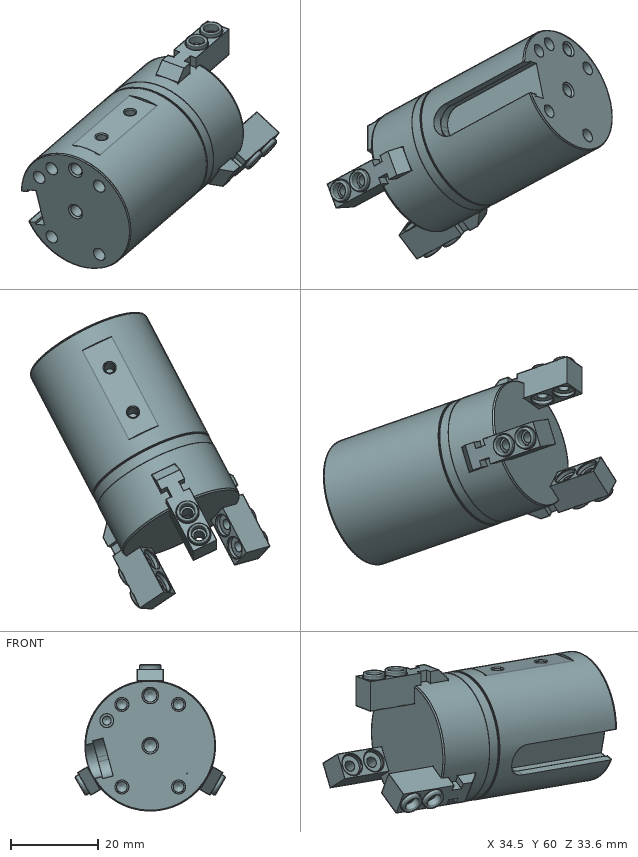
import cadquery as cq
import math

TOTAL_LENGTH = 60.0

HOUSING_RADIUS = 15.0
HOUSING_LENGTH = 47.9
REAR_CHAMFER_LENGTH = 0.35
FRONT_CHAMFER_LENGTH = 0.4
CHAMFER_DEPTH = 0.2
BAND_RADIUS = 14.95
BAND_FRONT = 35.1
BAND_REAR = 32.6
GROOVE_WIDTH = 0.3
GROOVE_RADIUS = 14.75

FLAT_HEIGHT = 14.5
FLAT_REAR = 4.5
FLAT_LENGTH = 24.0
FLAT_HOLES = (11.0, 23.0)
FLAT_HOLE_DIAMETER = 2.45
FLAT_HOLE_RIM = 3.0
FLAT_HOLE_DEPTH = 4.8

REAR_HOLE_DEPTH = 7.2
DRILL_TIP_ANGLE = 118.0
PORT_DIAMETER = 3.0
PORT_RIM = 3.8
PORT_RADIUS = 11.5
BOLT_DIAMETER = 2.45
BOLT_SPACING_X = 13.0
BOLT_SPACING_Z = 18.95
PILOT_DIAMETER = 2.05
PILOT_ANGLE = 150.0
COUNTERBORE_DIAMETER = 3.2
COUNTERBORE_DEPTH = 3.6

SLOT_TILT = 15.0
SLOT_FRONT = 28.6
SLOT_FLOOR = 10.0
SLOT_WIDTH = 8.0
UNDERCUT_WIDTH = 9.0
UNDERCUT_HEIGHT = 2.45

JAW_ANGLES = (0, 120, 240)
JAW_WIDTH = 6.0
JAW_INNER = 10.5
JAW_OUTER = 17.5
JAW_LENGTH = 21.5
JAW_BEVEL = JAW_OUTER - HOUSING_RADIUS
NECK_WIDTH = 3.0
NECK_FRONT = 46.0
NECK_REAR = 43.5
SCREW_HOLE_DIAMETER = 2.45
INNER_RECESS_DEPTH = 1.1
RECESS_RIM = 5.4

SLEEVE_DIAMETER = 5.0
SLEEVE_WALL = 0.7
SLEEVE_PROJECTION = 1.1
SLEEVE_SEAT_DEPTH = 1.1
SLEEVES_PER_JAW = 2
SLEEVE_PITCH = 6.0
FIRST_SLEEVE_INSET = 3.0
SLEEVE_POSITIONS = [TOTAL_LENGTH - FIRST_SLEEVE_INSET - i * SLEEVE_PITCH for i in range(SLEEVES_PER_JAW)]


def radial_cylinder(diameter, y, bottom, height):
    """A cylinder along +Z, at the given place along the gripper axis."""
    return cq.Workplane("XY", origin=(0, y, bottom)).circle(diameter / 2).extrude(height)


def rim_cone(diameter, rim, y, height, inward):
    """A 45 degree chamfer tool for a hole mouth at the given height.

    `inward` is the direction into the material: 1 for +Z and -1 for -Z.
    """
    depth = (rim - diameter) / 2
    cone = cq.Solid.makeCone(rim / 2, diameter / 2, depth, cq.Vector(0, y, height), cq.Vector(0, 0, inward))
    return cq.Workplane(cone)


def around_axis(body, angle):
    return body.rotate((0, 0, 0), (0, 1, 0), angle)


def bored_profile(steps):
    """Turn a tool along +Y from (diameter, depth) points, closed by a drill tip."""
    tip_diameter, tip_start = steps[-1]
    tip_length = tip_diameter / 2 / math.tan(math.radians(DRILL_TIP_ANGLE / 2))
    outline = [(0, 0)]
    outline += [(diameter / 2, depth) for diameter, depth in steps]
    outline += [(0, tip_start + tip_length)]
    return cq.Workplane("XY").polyline(outline).close().revolve(360, (0, 0, 0), (0, 1, 0))


def chamfered_hole(diameter, rim, depth):
    chamfer = (rim - diameter) / 2
    return bored_profile([(rim, 0), (diameter, chamfer), (diameter, depth)])


def counterbored_hole(diameter):
    return bored_profile([
        (COUNTERBORE_DIAMETER, 0),
        (COUNTERBORE_DIAMETER, COUNTERBORE_DEPTH),
        (diameter, COUNTERBORE_DEPTH),
        (diameter, REAR_HOLE_DEPTH),
    ])


def make_housing_blank():
    groove_rear = BAND_REAR - GROOVE_WIDTH
    end_radius = HOUSING_RADIUS - CHAMFER_DEPTH
    outline = [
        (0, 0),
        (end_radius, 0),
        (HOUSING_RADIUS, REAR_CHAMFER_LENGTH),
        (HOUSING_RADIUS, groove_rear),
        (GROOVE_RADIUS, groove_rear),
        (GROOVE_RADIUS, BAND_REAR),
        (BAND_RADIUS, BAND_REAR),
        (BAND_RADIUS, BAND_FRONT),
        (HOUSING_RADIUS, BAND_FRONT),
        (HOUSING_RADIUS, HOUSING_LENGTH - FRONT_CHAMFER_LENGTH),
        (end_radius, HOUSING_LENGTH),
        (0, HOUSING_LENGTH),
    ]
    return cq.Workplane("XY").polyline(outline).close().revolve(360, (0, 0, 0), (0, 1, 0))


def cut_top_flat(housing):
    pad_cut = (
        cq.Workplane("XY", origin=(0, FLAT_REAR + FLAT_LENGTH / 2, FLAT_HEIGHT))
        .rect(2 * HOUSING_RADIUS, FLAT_LENGTH)
        .extrude(HOUSING_RADIUS)
    )
    housing = housing.cut(pad_cut)
    for y in FLAT_HOLES:
        hole = radial_cylinder(FLAT_HOLE_DIAMETER, y, FLAT_HEIGHT - FLAT_HOLE_DEPTH, FLAT_HOLE_DEPTH)
        housing = housing.cut(hole)
        housing = housing.cut(rim_cone(FLAT_HOLE_DIAMETER, FLAT_HOLE_RIM, y, FLAT_HEIGHT, -1))
    return housing


def cut_rear_holes(housing):
    port = chamfered_hole(PORT_DIAMETER, PORT_RIM, REAR_HOLE_DEPTH)
    for z in (0, PORT_RADIUS):
        housing = housing.cut(port.translate((0, 0, z)))
    bolt_hole = counterbored_hole(BOLT_DIAMETER)
    for x in (-BOLT_SPACING_X / 2, BOLT_SPACING_X / 2):
        for z in (-BOLT_SPACING_Z / 2, BOLT_SPACING_Z / 2):
            housing = housing.cut(bolt_hole.translate((x, 0, z)))
    angle = math.radians(PILOT_ANGLE)
    pilot_place = (PORT_RADIUS * math.cos(angle), 0, PORT_RADIUS * math.sin(angle))
    return housing.cut(counterbored_hole(PILOT_DIAMETER).translate(pilot_place))


def cut_sensor_slot(housing):
    """Cut the slot facing up, then turned to its place on the -X side."""
    corner_radius = SLOT_WIDTH / 2
    undercut = (
        cq.Workplane("XY", origin=(0, SLOT_FRONT / 2, SLOT_FLOOR))
        .rect(UNDERCUT_WIDTH, SLOT_FRONT)
        .extrude(UNDERCUT_HEIGHT)
        .edges("|Z and >Y")
        .fillet(corner_radius)
    )
    straight_length = SLOT_FRONT - corner_radius
    mouth = (
        cq.Workplane("XY", origin=(0, 0, SLOT_FLOOR))
        .moveTo(-corner_radius, 0)
        .lineTo(-corner_radius, straight_length)
        .threePointArc((0, SLOT_FRONT), (corner_radius, straight_length))
        .lineTo(corner_radius, 0)
        .close()
        .extrude(HOUSING_RADIUS - SLOT_FLOOR)
    )
    slot = undercut.union(mouth)
    return housing.cut(around_axis(slot, -90 - SLOT_TILT))


def make_jaw_blank():
    """The solid shape of the upper jaw, which the housing recess matches."""
    rear = TOTAL_LENGTH - JAW_LENGTH
    side_outline = [
        (TOTAL_LENGTH, JAW_INNER),
        (TOTAL_LENGTH, JAW_OUTER),
        (rear + JAW_BEVEL, JAW_OUTER),
        (rear, JAW_OUTER - JAW_BEVEL),
        (rear, JAW_INNER),
    ]
    blank = cq.Workplane("YZ").polyline(side_outline).close().extrude(JAW_WIDTH / 2, both=True)
    notch_depth = (JAW_WIDTH - NECK_WIDTH) / 2
    for side in (-1, 1):
        notch_x = side * (NECK_WIDTH + notch_depth) / 2
        notch = (
            cq.Workplane("XY", origin=(notch_x, (NECK_FRONT + NECK_REAR) / 2, JAW_INNER))
            .rect(notch_depth, NECK_FRONT - NECK_REAR)
            .extrude(JAW_OUTER - JAW_INNER)
        )
        blank = blank.cut(notch)
    return blank


def make_jaw(angle):
    jaw = make_jaw_blank()
    seat_bottom = JAW_OUTER - SLEEVE_SEAT_DEPTH
    for y in SLEEVE_POSITIONS:
        cutters = [
            radial_cylinder(SCREW_HOLE_DIAMETER, y, JAW_INNER, JAW_OUTER - JAW_INNER),
            radial_cylinder(SLEEVE_DIAMETER, y, JAW_INNER, INNER_RECESS_DEPTH),
            rim_cone(SLEEVE_DIAMETER, RECESS_RIM, y, JAW_INNER, 1),
            radial_cylinder(SLEEVE_DIAMETER, y, seat_bottom, SLEEVE_SEAT_DEPTH),
            rim_cone(SLEEVE_DIAMETER, RECESS_RIM, y, JAW_OUTER, -1),
        ]
        for cutter in cutters:
            jaw = jaw.cut(cutter)
    return around_axis(jaw, angle)


def make_sleeve(y, angle):
    """A tube set in the seat, with its projecting end fully rounded across the wall."""
    bottom = JAW_OUTER - SLEEVE_SEAT_DEPTH
    top = JAW_OUTER + SLEEVE_PROJECTION
    outer_radius = SLEEVE_DIAMETER / 2
    bore_radius = outer_radius - SLEEVE_WALL
    rounding = SLEEVE_WALL / 2
    sleeve = (
        cq.Workplane("XZ", origin=(0, y, 0))
        .moveTo(-bore_radius, bottom)
        .lineTo(-outer_radius, bottom)
        .lineTo(-outer_radius, top - rounding)
        .threePointArc((-bore_radius - rounding, top), (-bore_radius, top - rounding))
        .close()
        .revolve(360, (0, 0, 0), (0, 1, 0))
    )
    return around_axis(sleeve, angle)


def make_housing():
    housing = make_housing_blank()
    housing = cut_top_flat(housing)
    housing = cut_rear_holes(housing)
    housing = cut_sensor_slot(housing)
    for angle in JAW_ANGLES:
        housing = housing.cut(around_axis(make_jaw_blank(), angle))
    return housing


housing = make_housing()
jaws = [make_jaw(angle) for angle in JAW_ANGLES]
sleeves = [make_sleeve(y, angle) for angle in JAW_ANGLES for y in SLEEVE_POSITIONS]

result = cq.Compound.makeCompound([
    housing.val(),
    *[jaw.val() for jaw in jaws],
    *[sleeve.val() for sleeve in sleeves],
])